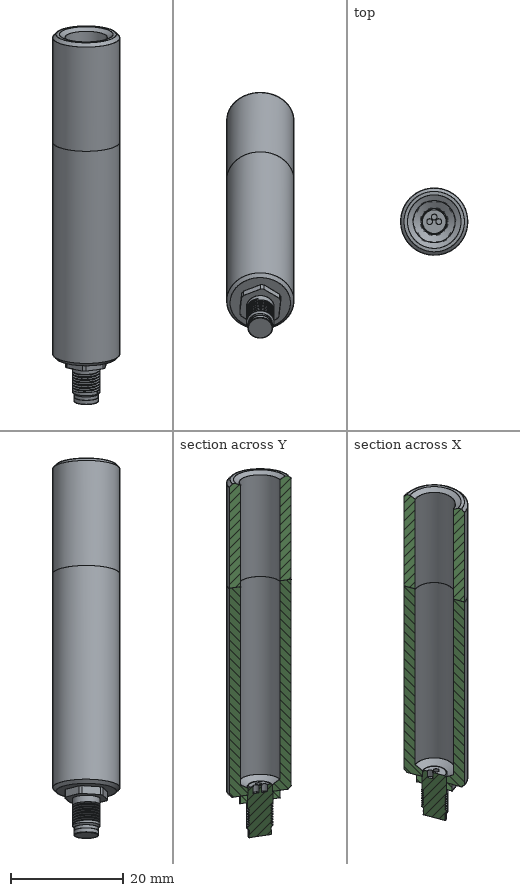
import cadquery as cq
import math

TOTAL_HEIGHT = 68.1
TUBE_DIA = 12.0
BORE_DIA = 7.5
TUBE_BOTTOM = 8.2
SEAM_HEIGHT = 48.15

OUTER_CHAMFER = 0.6

MOUTH_DIA = 9.5
MOUTH_DEPTH = 0.55

FLOOR_THICKNESS = 1.35
DRILL_POINT_ANGLE = 118.0

THREAD_DIA = 5.0
THREAD_TOP = 5.85
GROOVE_START = 2.1
THREAD_PITCH = 0.5
THREAD_DEPTH = 0.35
GROOVE_MOUTH = 0.4
GROOVE_ROOT = 0.1
GROOVE_OVERSHOOT = 0.1
SHANK_DIA = 4.6
INNER_END_DIA = 4.2
NOSE_DIA = 4.4
NOSE_TOP = 0.8
NOSE_CHAMFER = 0.1
NECK_DIA = 4.3
NECK_TOP = 1.4
CONTACT_DIA = 1.0
CONTACT_OFFSET = 0.8
CONTACT_DEPTH = 1.35

NUT_FLATS = 7.0
NUT_CORNER_DIA = 7.75
NUT_BOTTOM = 6.75

TUBE_RADIUS = TUBE_DIA / 2
BORE_RADIUS = BORE_DIA / 2
THREAD_RADIUS = THREAD_DIA / 2
SHANK_RADIUS = SHANK_DIA / 2
FLOOR_TOP = TUBE_BOTTOM + FLOOR_THICKNESS


def revolve_profile(points):
    """Turn a closed (radius, height) outline about the Z axis."""
    return cq.Workplane("XZ").polyline(points).close().revolve(360, (0, 0, 0), (0, 1, 0))


def make_cap():
    return revolve_profile([
        (BORE_RADIUS, SEAM_HEIGHT),
        (TUBE_RADIUS, SEAM_HEIGHT),
        (TUBE_RADIUS, TOTAL_HEIGHT - OUTER_CHAMFER),
        (TUBE_RADIUS - OUTER_CHAMFER, TOTAL_HEIGHT),
        (MOUTH_DIA / 2, TOTAL_HEIGHT),
        (BORE_RADIUS, TOTAL_HEIGHT - MOUTH_DEPTH),
    ])


def make_housing():
    cone_height = (BORE_RADIUS - SHANK_RADIUS) / math.tan(math.radians(DRILL_POINT_ANGLE / 2))
    return revolve_profile([
        (SHANK_RADIUS, TUBE_BOTTOM),
        (TUBE_RADIUS - OUTER_CHAMFER, TUBE_BOTTOM),
        (TUBE_RADIUS, TUBE_BOTTOM + OUTER_CHAMFER),
        (TUBE_RADIUS, SEAM_HEIGHT),
        (BORE_RADIUS, SEAM_HEIGHT),
        (BORE_RADIUS, FLOOR_TOP + cone_height),
        (SHANK_RADIUS, FLOOR_TOP),
    ])


def make_thread_groove():
    """Right-handed groove with sloping flanks, swept along a helix on the thread crest."""
    length = THREAD_TOP - GROOVE_MOUTH / 2 - GROOVE_START
    path = cq.Wire.makeHelix(THREAD_PITCH, length, THREAD_RADIUS, cq.Vector(0, 0, GROOVE_START))
    root_radius = THREAD_RADIUS - THREAD_DEPTH
    half_root = GROOVE_ROOT / 2
    outer_radius = THREAD_RADIUS + GROOVE_OVERSHOOT
    flank_slope = (GROOVE_MOUTH - GROOVE_ROOT) / 2 / THREAD_DEPTH
    half_outer = half_root + flank_slope * (outer_radius - root_radius)
    outline = cq.Workplane("XZ").polyline([
        (root_radius, GROOVE_START - half_root),
        (root_radius, GROOVE_START + half_root),
        (outer_radius, GROOVE_START + half_outer),
        (outer_radius, GROOVE_START - half_outer),
    ]).close()
    return outline.sweep(cq.Workplane(path), isFrenet=True)


def make_connector():
    inner_end = FLOOR_TOP + (SHANK_DIA - INNER_END_DIA) / 2
    nose_radius = NOSE_DIA / 2
    neck_radius = NECK_DIA / 2
    rod = revolve_profile([
        (0, 0),
        (nose_radius - NOSE_CHAMFER, 0),
        (nose_radius, NOSE_CHAMFER),
        (nose_radius, NOSE_TOP),
        (neck_radius, NOSE_TOP),
        (neck_radius, NECK_TOP),
        (THREAD_RADIUS, NECK_TOP + THREAD_RADIUS - neck_radius),
        (THREAD_RADIUS, TUBE_BOTTOM),
        (SHANK_RADIUS, TUBE_BOTTOM),
        (SHANK_RADIUS, FLOOR_TOP),
        (INNER_END_DIA / 2, inner_end),
        (0, inner_end),
    ])
    contact_places = [(-CONTACT_OFFSET, 0), (0, CONTACT_OFFSET), (CONTACT_OFFSET, 0)]
    contact_holes = (
        cq.Workplane("XY")
        .workplane(offset=inner_end - CONTACT_DEPTH)
        .pushPoints(contact_places)
        .circle(CONTACT_DIA / 2)
        .extrude(CONTACT_DEPTH)
    )
    return rod.cut(contact_holes).cut(make_thread_groove())


def make_nut():
    height = TUBE_BOTTOM - NUT_BOTTOM
    base = cq.Workplane("XY").workplane(offset=NUT_BOTTOM)
    hexagon = base.polygon(6, NUT_FLATS / math.cos(math.pi / 6)).extrude(height)
    corner_cylinder = base.circle(NUT_CORNER_DIA / 2).extrude(height)
    thread_clearance = base.circle(THREAD_RADIUS).extrude(height)
    return hexagon.intersect(corner_cylinder).cut(thread_clearance)


cap = make_cap()
housing = make_housing()
connector = make_connector()
nut = make_nut()

result = cq.Compound.makeCompound([cap.val(), housing.val(), connector.val(), nut.val()])